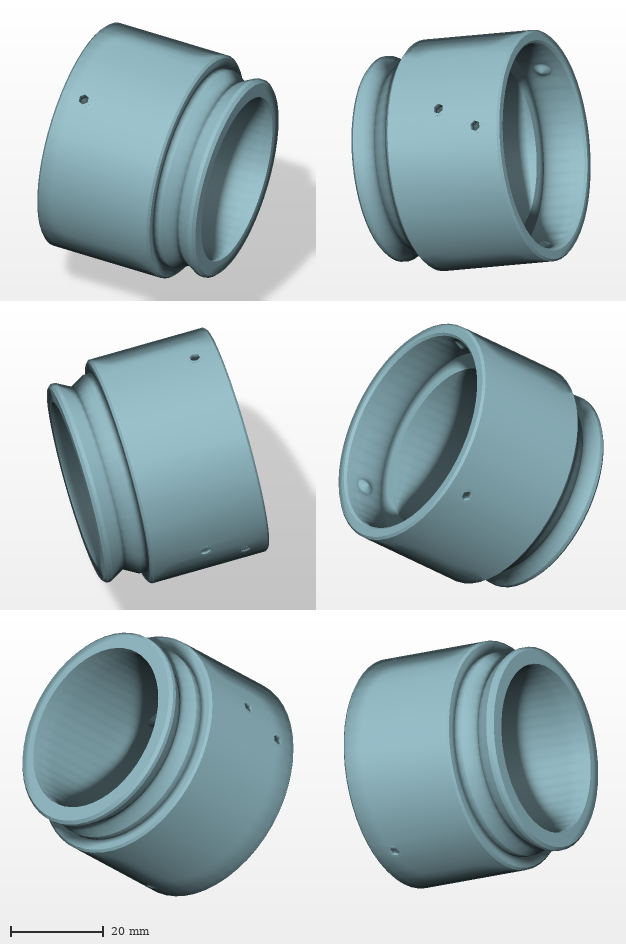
import cadquery as cq
import math

LENGTH = 36.05
BODY_DIAMETER = 50.05
BODY_LENGTH = 26.5
BODY_CHAMFER = 0.5

NECK_DIAMETER = 44.45
GROOVE_START = 28.05
GROOVE_BOTTOM = 31.2
GROOVE_END = 34.55
GROOVE_DEPTH = 1.8
END_CHAMFER = 0.65

SOCKET_DIAMETER = 44.5
SOCKET_DEPTH = 10.0
SOCKET_CHAMFER = 0.5
BORE_DIAMETER = 36.85

SCREW_DIAMETER = 4.0
SCREW_END_DIAMETER = 3.25
HEX_ACROSS_FLATS = 2.0
HEX_DEPTH = 1.75
HEX_TWIST = 39.0
TIP_ANGLE = 120.0
SHANK_OVERLAP = 0.5
CLAMP_SCREW_X = 5.5
CLAMP_SCREW_COUNT = 3
LOCK_SCREW_X = 14.3
LOCK_SCREW_ANGLE = 10.5

BODY_RADIUS = BODY_DIAMETER / 2
NECK_RADIUS = NECK_DIAMETER / 2
SOCKET_RADIUS = SOCKET_DIAMETER / 2
BORE_RADIUS = BORE_DIAMETER / 2


def make_sleeve():
    """Revolve the half section, drawn as (x, radius), about the X axis."""
    section = [
        (0, SOCKET_RADIUS + SOCKET_CHAMFER),
        (0, BODY_RADIUS - BODY_CHAMFER),
        (BODY_CHAMFER, BODY_RADIUS),
        (BODY_LENGTH - BODY_CHAMFER, BODY_RADIUS),
        (BODY_LENGTH, BODY_RADIUS - BODY_CHAMFER),
        (BODY_LENGTH, NECK_RADIUS),
        (GROOVE_START, NECK_RADIUS),
        (GROOVE_BOTTOM, NECK_RADIUS - GROOVE_DEPTH),
        (GROOVE_END, NECK_RADIUS),
        (LENGTH - END_CHAMFER, NECK_RADIUS),
        (LENGTH, NECK_RADIUS - END_CHAMFER),
        (LENGTH, BORE_RADIUS),
        (SOCKET_DEPTH, BORE_RADIUS),
        (SOCKET_DEPTH, SOCKET_RADIUS),
        (SOCKET_CHAMFER, SOCKET_RADIUS),
    ]
    return cq.Workplane("XY").polyline(section).close().revolve(360, (0, 0, 0), (1, 0, 0))


def place(shape, x, angle):
    """Move a shape built along +Z to position x, pointing outwards at an angle from +Y towards +Z."""
    return shape.rotate((0, 0, 0), (1, 0, 0), angle - 90).translate((x, 0, 0))


def screw_end():
    """Flat outer end of a screw, level with the crest of the body so its sides stand just proud."""
    end = cq.Workplane("XY", origin=(0, 0, BODY_RADIUS))
    return end.circle(SCREW_END_DIAMETER / 2).extrude(-HEX_DEPTH)


def hex_socket():
    """Hexagon socket sunk into the outer end of a screw."""
    across_corners = HEX_ACROSS_FLATS / math.cos(math.pi / 6)
    end = cq.Workplane("XY", origin=(0, 0, BODY_RADIUS))
    return end.polygon(6, across_corners).extrude(-HEX_DEPTH).rotate((0, 0, 0), (0, 0, 1), HEX_TWIST)


def screw_tip():
    """Conical screw point that starts at the socket wall, with a short shank sunk into the wall."""
    radius = SCREW_DIAMETER / 2
    point = SOCKET_RADIUS - radius / math.tan(math.radians(TIP_ANGLE / 2))
    shank_end = SOCKET_RADIUS + SHANK_OVERLAP
    outline = [(0, point), (radius, SOCKET_RADIUS), (radius, shank_end), (0, shank_end)]
    return cq.Workplane("XZ").polyline(outline).close().revolve(360, (0, 0, 0), (0, 1, 0))


def add_screw_head(part, x, angle):
    """Add the outer end of a screw to the part and cut its hexagon socket."""
    return part.union(place(screw_end(), x, angle)).cut(place(hex_socket(), x, angle))


result = make_sleeve()

for index in range(CLAMP_SCREW_COUNT):
    clamp_angle = index * 360 / CLAMP_SCREW_COUNT
    result = result.union(place(screw_tip(), CLAMP_SCREW_X, clamp_angle))
    result = add_screw_head(result, CLAMP_SCREW_X, clamp_angle)

result = add_screw_head(result, LOCK_SCREW_X, LOCK_SCREW_ANGLE)